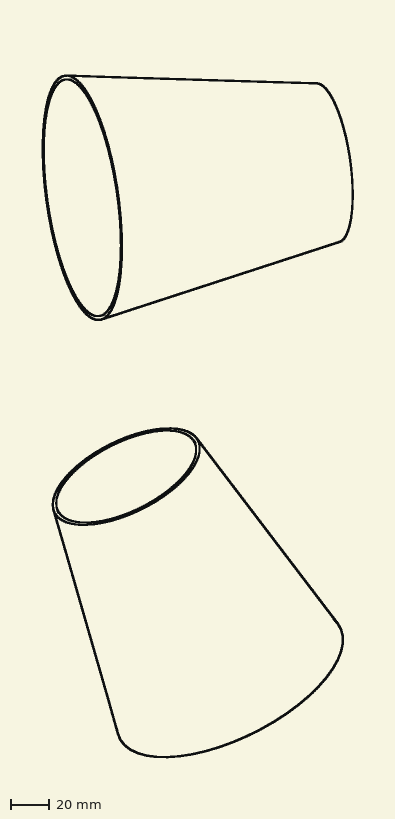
import cadquery as cq

length = 135.0
large_diameter = 129.0
small_diameter = 84.0
wall = 2.0

large_radius = large_diameter / 2
small_radius = small_diameter / 2

wall_section = (
    cq.Workplane("XY")
    .moveTo(large_radius - wall, 0)
    .lineTo(large_radius, 0)
    .lineTo(small_radius, length)
    .lineTo(small_radius - wall, length)
    .close()
)

result = wall_section.revolve(360, (0, 0, 0), (0, 1, 0))